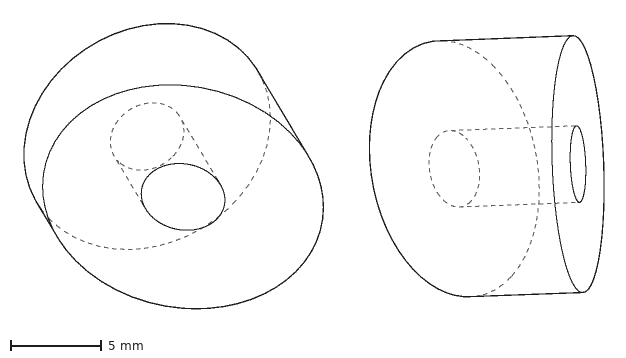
import cadquery as cq
import math

outer_diameter = 14.25
hole_diameter = 4.25
long_side = 10.32
bevel_angle = 25.0

outer_radius = outer_diameter / 2
short_side = long_side - outer_diameter * math.tan(math.radians(bevel_angle))


def bored_cylinder():
    """Hollow cylinder along X, with its flat face at X = 0."""
    ring = cq.Workplane("YZ").circle(outer_radius).circle(hole_diameter / 2)
    return ring.extrude(long_side)


def bevelled_profile():
    """Prism whose slanted side is shortest at -Y and longest at +Y."""
    outline = (
        cq.Workplane("XY")
        .moveTo(0, -outer_radius)
        .lineTo(short_side, -outer_radius)
        .lineTo(long_side, outer_radius)
        .lineTo(0, outer_radius)
        .close()
    )
    return outline.extrude(outer_radius, both=True)


result = bored_cylinder().intersect(bevelled_profile())